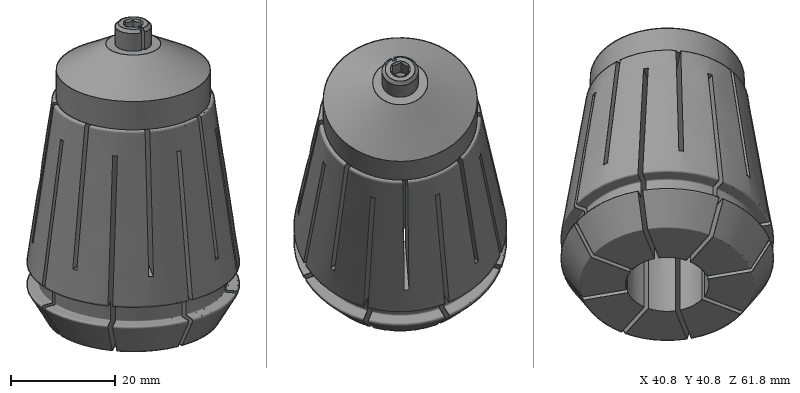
import cadquery as cq
import math

total_height = 61.8
flange_height = 7.0
groove_top = 11.0
collet_top = 46.05
cap_edge_height = 52.05
cap_top = 57.5

body_diameter = 40.85
groove_diameter = 36.2
bore_diameter = 16.0
body_taper_angle = 8.0
nose_angle = 30.0
rim_round = 0.4
shank_top_round = 0.5
nose_round = 0.25
groove_round = 0.25

cap_diameter = 29.6
cap_flat_diameter = 10.55

screw_diameter = 7.0
screw_chamfer = 0.6
socket_width = 3.0
socket_depth = 3.1
socket_chamfer_diameter = 3.85
drill_point_angle = 118.0

notch_width = 0.75
notch_inner_radius = 2.4
notch_outer_radius = 3.1

slots_per_end = 8
slot_width = 0.9
lower_slot_top = 41.05
upper_slot_bottom = 17.1


def point_on_circle(center, radius, angle):
    """Point at an angle in degrees, measured from the outward direction."""
    angle = math.radians(angle)
    return center[0] + radius * math.cos(angle), center[1] + radius * math.sin(angle)


def make_collet():
    """Revolved body with a tapered shank, a ring groove and a conical nose."""
    bore_radius = bore_diameter / 2
    groove_radius = groove_diameter / 2

    rim_center_radius = body_diameter / 2 - rim_round
    flange_rim = (rim_center_radius, flange_height - rim_round)
    flange_rim_start = point_on_circle(flange_rim, rim_round, -nose_angle)
    flange_rim_middle = point_on_circle(flange_rim, rim_round, 45)
    shank_rim = (rim_center_radius, groove_top + rim_round)
    shank_rim_middle = point_on_circle(shank_rim, rim_round, -45)
    shank_rim_end = point_on_circle(shank_rim, rim_round, body_taper_angle)

    nose_radius = flange_rim_start[0] - flange_rim_start[1] * math.tan(math.radians(nose_angle))
    shank_height = collet_top - shank_rim_end[1]
    shank_top_radius = shank_rim_end[0] - shank_height * math.tan(math.radians(body_taper_angle))

    profile = (
        cq.Workplane("XZ")
        .moveTo(bore_radius, 0)
        .lineTo(nose_radius, 0)
        .lineTo(*flange_rim_start)
        .threePointArc(flange_rim_middle, (rim_center_radius, flange_height))
        .lineTo(groove_radius, flange_height)
        .lineTo(groove_radius, groove_top)
        .lineTo(rim_center_radius, groove_top)
        .threePointArc(shank_rim_middle, shank_rim_end)
        .lineTo(shank_top_radius, collet_top)
        .lineTo(bore_radius, collet_top)
        .close()
    )
    outermost = cq.selectors.RadiusNthSelector(-1)
    collet = profile.revolve(360, (0, 0, 0), (0, 1, 0))
    collet = collet.faces(">Z").edges(outermost).fillet(shank_top_round)
    collet = collet.faces("<Z").edges(outermost).fillet(nose_round)
    tolerance = 0.005
    groove_corners = collet.edges("%CIRCLE").filter(
        lambda edge: abs(edge.radius() - groove_radius) < tolerance
    )
    return groove_corners.fillet(groove_round)


def make_slots(bottom, top, first_angle):
    """Ring of radial slots reaching from the axis to beyond the outside."""
    slot = cq.Workplane("XY").box(
        body_diameter, slot_width, top - bottom, centered=(False, True, False)
    ).translate((0, 0, bottom))
    slots = cq.Workplane("XY")
    for index in range(slots_per_end):
        angle = first_angle + index * 360 / slots_per_end
        slots = slots.add(slot.rotate((0, 0, 0), (0, 0, 1), angle))
    return slots.combine()


def make_cap():
    """Cylindrical cap with a conical shoulder and a flat top."""
    return (
        cq.Workplane("XZ")
        .moveTo(0, collet_top)
        .lineTo(cap_diameter / 2, collet_top)
        .lineTo(cap_diameter / 2, cap_edge_height)
        .lineTo(cap_flat_diameter / 2, cap_top)
        .lineTo(0, cap_top)
        .close()
        .revolve(360, (0, 0, 0), (0, 1, 0))
    )


def make_screw():
    """Chamfered end of the screw above the cap."""
    return (
        cq.Workplane("XY", origin=(0, 0, cap_top))
        .circle(screw_diameter / 2)
        .extrude(total_height - cap_top)
        .faces(">Z")
        .chamfer(screw_chamfer)
    )


def make_cone(base_height, base_radius, tip_height):
    """Solid cone pointing down on the axis."""
    return (
        cq.Workplane("XZ")
        .moveTo(0, tip_height)
        .lineTo(base_radius, base_height)
        .lineTo(0, base_height)
        .close()
        .revolve(360, (0, 0, 0), (0, 1, 0))
    )


def make_socket():
    """Hexagon socket with a countersunk mouth and a drill point at its floor."""
    floor = total_height - socket_depth
    hexagon = (
        cq.Workplane("XY", origin=(0, 0, floor))
        .polygon(6, socket_width, circumscribed=True)
        .extrude(socket_depth)
    )
    point_depth = socket_width / 2 / math.tan(math.radians(drill_point_angle / 2))
    drill_point = make_cone(floor, socket_width / 2, floor - point_depth)
    mouth_radius = socket_chamfer_diameter / 2
    mouth = make_cone(total_height, mouth_radius, total_height - mouth_radius)
    return hexagon.union(drill_point).union(mouth)


def make_notch():
    """Groove open to the side of the screw, continuing as a hole through the cap."""
    hole = cq.Workplane("XY").box(
        notch_outer_radius - notch_inner_radius, notch_width, total_height - collet_top,
        centered=(False, True, False),
    ).translate((notch_inner_radius, 0, collet_top))
    groove = cq.Workplane("XY").box(
        screw_diameter / 2, notch_width, total_height - cap_top,
        centered=(False, True, False),
    ).translate((notch_inner_radius, 0, cap_top))
    return hole.union(groove)


half_pitch = 180 / slots_per_end
collet = make_collet()
collet = collet.cut(make_slots(0, lower_slot_top, 0))
collet = collet.cut(make_slots(upper_slot_bottom, collet_top, half_pitch))

result = collet.union(make_cap()).union(make_screw())
result = result.cut(make_socket()).cut(make_notch())